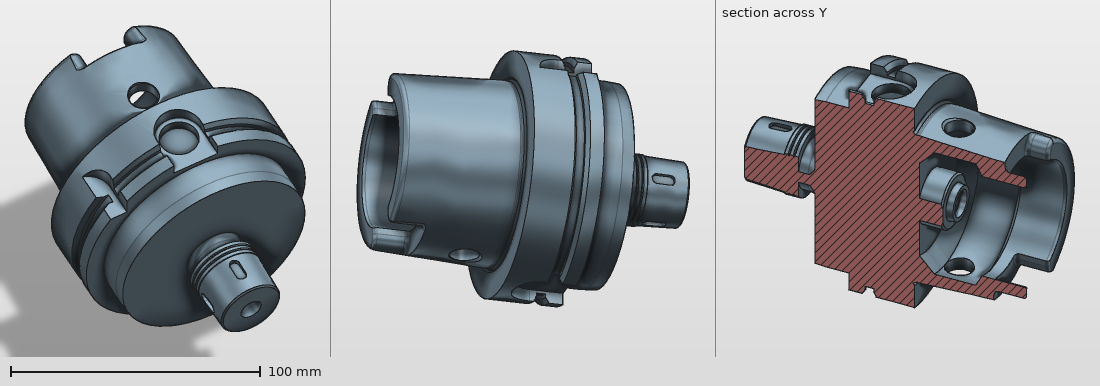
import cadquery as cq
import math

clearance = 1.2

total_length = 125.0
flange_face_x = 49.8
flange_end_x = 78.9
collar_taper_x = 88.9
collar_end_x = 93.9

shank_end_radius = 37.9
shank_taper_end_x = 47.5
taper_slope = 1 / 20
shank_front_radius = shank_end_radius - taper_slope * shank_taper_end_x
relief_radius = 37.8
relief_start_x = 48.2
relief_end_x = 49.0
face_groove_radius = 39.4
face_groove_bottom_radius = 38.6
face_groove_depth = 0.6
rim_round = 1.9

flange_radius = 50.0
groove_floor_radius = 46.2
groove_wall_radius = 47.8
groove_start_x = 66.8
groove_floor_start_x = 67.9
groove_floor_end_x = 71.6
groove_end_x = 73.1

collar_radius = 42.0
collar_end_radius = 41.6

neck_radius = 11.0
neck_root_radius = 12.2
neck_fillet_end_x = 96.9
ring_radius = 14.5
ring_start_x = 101.0
ring_end_x = 107.2
nose_start_radius = 14.1
nose_end_radius = 13.4
nose_chamfer = 0.6
ring_groove_width = 0.9
ring_groove_depth = 0.4
ring_groove_centers = (103.0, 105.2)

bore_radius = 26.5
bore_mouth_radius = 26.9
bore_mouth_length = 1.2
undercut_radius = 31.5
undercut_start_x = 20.0
undercut_wall_angle = 60
undercut_end_x = 41.0
bore_floor_radius = 24.9
bore_floor_x = undercut_end_x + undercut_radius - bore_floor_radius

stub_base_radius = 12.0
stub_base_chamfer = 0.8
stub_shoulder_x = 37.2
stub_tip_x = 34.2
stub_root_radius = 8.0
stub_tip_radius = 7.6
stub_bore_radius = 5.9
stub_bore_depth = 3.0
through_bore_radius = 4.6

driver_width = 19.8
driver_flank_round = 5.0
driver_land_height = 32.2
driver_depth_top = 9.9
driver_depth_bottom = 14.8
driver_edge_round = 1.5
driver_floor_fillet = 1.8

access_x = 35.0
access_diameter = 12.0
access_sink_height = 36.5
access_sink_depth = 3.8

flange_slot_width = 20.0
flange_slot_center_x = 64.9
flange_slot_height = 44.0
chip_hole_diameter = 16.0
chip_hole_depth = 4.4
notch_floor_height = 31.5
notch_wall_y = -31.4

nose_slot_center_x = 114.0
nose_slot_length = 9.6
nose_slot_width = 4.2
nose_slot_floor = 12.0


def revolve_about_x(outline):
    return outline.close().revolve(360, (0, 0, 0), (1, 0, 0))


def cylinder_along_x(radius, start, end):
    return cq.Workplane("YZ").workplane(offset=start).circle(radius).extrude(end - start)


def turned_body():
    run = neck_fillet_end_x - collar_end_x
    rise = neck_root_radius - neck_radius
    blend_radius = (run**2 + rise**2) / (2 * rise)
    half_angle = math.asin(run / blend_radius) / 2
    blend_middle = (
        neck_fillet_end_x - blend_radius * math.sin(half_angle),
        neck_radius + blend_radius * (1 - math.cos(half_angle)),
    )
    rim_end_radius = shank_front_radius + taper_slope * rim_round
    rim_inset = rim_round * (1 - math.sqrt(0.5))
    rim_middle = (rim_inset, shank_front_radius - rim_inset)
    groove_bottom_x = flange_face_x + face_groove_depth
    outline = (
        cq.Workplane("XY")
        .moveTo(0, 0)
        .lineTo(0, shank_front_radius - rim_round)
        .threePointArc(rim_middle, (rim_round, rim_end_radius))
        .lineTo(shank_taper_end_x, shank_end_radius)
        .lineTo(relief_start_x, relief_radius)
        .lineTo(relief_end_x, relief_radius)
        .lineTo(groove_bottom_x, face_groove_bottom_radius)
        .lineTo(flange_face_x, face_groove_radius)
        .lineTo(flange_face_x, flange_radius)
        .lineTo(groove_start_x, flange_radius)
        .lineTo(groove_floor_start_x, groove_wall_radius)
        .lineTo(groove_floor_start_x, groove_floor_radius)
        .lineTo(groove_floor_end_x, groove_floor_radius)
        .lineTo(groove_floor_end_x, groove_wall_radius)
        .lineTo(groove_end_x, flange_radius)
        .lineTo(flange_end_x, flange_radius)
        .lineTo(flange_end_x, collar_radius)
        .lineTo(collar_taper_x, collar_radius)
        .lineTo(collar_end_x, collar_end_radius)
        .lineTo(collar_end_x, neck_root_radius)
        .threePointArc(blend_middle, (neck_fillet_end_x, neck_radius))
        .lineTo(ring_start_x, neck_radius)
        .lineTo(ring_start_x, ring_radius)
        .lineTo(ring_end_x, ring_radius)
        .lineTo(ring_end_x, nose_start_radius)
        .lineTo(total_length - nose_chamfer, nose_end_radius)
        .lineTo(total_length, nose_end_radius - nose_chamfer)
        .lineTo(total_length, 0)
    )
    return revolve_about_x(outline)


def ring_groove(center_x):
    half_width = ring_groove_width / 2
    return revolve_about_x(
        cq.Workplane("XY")
        .moveTo(center_x - half_width, ring_radius)
        .lineTo(center_x, ring_radius - ring_groove_depth)
        .lineTo(center_x + half_width, ring_radius)
    )


def shank_bore():
    undercut_wall_run = (undercut_radius - bore_radius) / math.tan(math.radians(undercut_wall_angle))
    return revolve_about_x(
        cq.Workplane("XY")
        .moveTo(0, 0)
        .lineTo(0, bore_mouth_radius)
        .lineTo(bore_mouth_length, bore_radius)
        .lineTo(undercut_start_x, bore_radius)
        .lineTo(undercut_start_x + undercut_wall_run, undercut_radius)
        .lineTo(undercut_end_x, undercut_radius)
        .lineTo(bore_floor_x, bore_floor_radius)
        .lineTo(bore_floor_x, 0)
    )


def coolant_stub():
    return revolve_about_x(
        cq.Workplane("XY")
        .moveTo(stub_tip_x, 0)
        .lineTo(stub_tip_x, stub_tip_radius)
        .lineTo(stub_shoulder_x, stub_root_radius)
        .lineTo(stub_shoulder_x, stub_base_radius - stub_base_chamfer)
        .lineTo(stub_shoulder_x + stub_base_chamfer, stub_base_radius)
        .lineTo(bore_floor_x, stub_base_radius)
        .lineTo(bore_floor_x, 0)
    )


def driver_lugs():
    half_width = driver_width / 2
    lug_length = 2 * driver_depth_bottom
    lug = (
        cq.Workplane("XY")
        .box(lug_length, flange_radius, 2 * driver_land_height, centered=(False, False, True))
        .translate((0, half_width, 0))
        .edges("|X and <Y")
        .fillet(driver_flank_round)
        .faces("<X")
        .edges()
        .fillet(driver_edge_round)
    )
    return lug.union(lug.mirror("XZ"))


def driver_slot(depth):
    slot = (
        cq.Workplane("XY")
        .box(depth, 2 * flange_radius, flange_radius, centered=(False, True, False))
        .cut(driver_lugs())
    )
    reach = flange_radius - clearance
    sliver = 0.1
    foot_edges = cq.selectors.BoxSelector(
        (depth - sliver, -reach, clearance),
        (depth + sliver, reach, reach),
    )
    return slot.edges(foot_edges).fillet(driver_floor_fillet)


def access_hole():
    drill_radius = access_diameter / 2
    drill = (
        cq.Workplane("XZ")
        .lineTo(drill_radius, 0)
        .lineTo(drill_radius, access_sink_height)
        .lineTo(drill_radius + access_sink_depth, access_sink_height + access_sink_depth)
        .lineTo(0, access_sink_height + access_sink_depth)
        .close()
        .revolve(360, (0, 0, 0), (0, 1, 0))
        .translate((access_x, 0, 0))
    )
    clear_of_stub = cylinder_along_x(bore_radius - clearance, 0, flange_face_x)
    return drill.cut(clear_of_stub)


def flange_slot(center_y, floor_height):
    run = flange_end_x - flange_slot_center_x
    base = cq.Workplane("XY").workplane(offset=floor_height)
    height = flange_radius - floor_height + clearance
    straight = (
        base.center(flange_slot_center_x + run / 2, center_y)
        .rect(run, flange_slot_width)
        .extrude(height)
    )
    end = base.center(flange_slot_center_x, center_y).circle(flange_slot_width / 2).extrude(height)
    return straight.union(end)


def chip_hole():
    return (
        cq.Workplane("XY")
        .workplane(offset=flange_slot_height - chip_hole_depth)
        .center(flange_slot_center_x, 0)
        .circle(chip_hole_diameter / 2)
        .extrude(chip_hole_depth + clearance)
    )


def nose_slot():
    return (
        cq.Workplane("XY")
        .workplane(offset=nose_slot_floor)
        .center(nose_slot_center_x, 0)
        .slot2D(nose_slot_length, nose_slot_width)
        .extrude(ring_radius - nose_slot_floor)
    )


def about_x(shape, angle):
    return shape.rotate((0, 0, 0), (1, 0, 0), angle)


result = turned_body().cut(shank_bore()).union(coolant_stub())
result = result.cut(driver_slot(driver_depth_top))
result = result.cut(about_x(driver_slot(driver_depth_bottom), 180))
for angle in (0, 180):
    result = result.cut(about_x(access_hole(), angle))

result = result.cut(cylinder_along_x(through_bore_radius, 0, total_length))
result = result.cut(cylinder_along_x(stub_bore_radius, stub_tip_x, stub_tip_x + stub_bore_depth))

for angle in (0, 180):
    result = result.cut(about_x(flange_slot(0, flange_slot_height), angle))
result = result.cut(chip_hole())
result = result.cut(flange_slot(notch_wall_y - flange_slot_width / 2, notch_floor_height))

for groove_x in ring_groove_centers:
    result = result.cut(ring_groove(groove_x))
for angle in (0, 90, 180, 270):
    result = result.cut(about_x(nose_slot(), angle))